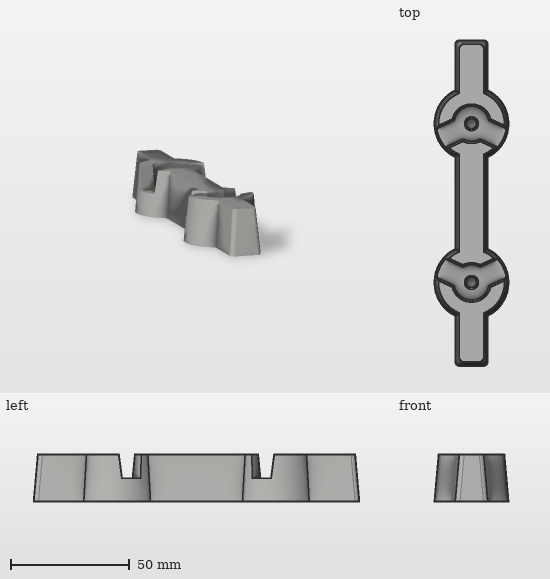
import cadquery as cq
import math

length = 137.5
disc_diameter = 31.4
height = 20.0
draft_angle = 5.0
bar_width = 13.8
end_corner_radius = 1.9
disc_spacing = 67.0

pocket_depth = height / 2
seat_radius = 7.4
arm_width = 8.7
arm_droop = 25.0

hole_diameter = 4.3
rim_diameter = 5.8
rim_depth = 0.7
hole_depth = 4.1
tip_angle = 118.0

floor_z = height - pocket_depth
arm_length = disc_diameter


def make_bar():
    """Long drafted bar with rounded end corners."""
    bar = cq.Workplane("XY").rect(bar_width, length).extrude(height, taper=draft_angle)
    corners = bar.edges("not(#Z or |X or |Y)")
    return corners.fillet(end_corner_radius)


def make_disc(y):
    """Drafted disc centred at the given Y on the bar."""
    return (
        cq.Workplane("XY").center(0, y).circle(disc_diameter / 2)
        .extrude(height, taper=draft_angle)
    )


def make_pocket():
    """Round seat with two arms that droop toward -Y, centred on the Z axis."""
    floor = cq.Workplane("XY", origin=(0, 0, floor_z))
    pocket = floor.circle(seat_radius).extrude(pocket_depth, taper=-draft_angle)
    top_arm_width = arm_width + 2 * pocket_depth * math.tan(math.radians(draft_angle))
    for side in (-1, 1):
        arm = (
            cq.Workplane("YZ")
            .moveTo(-arm_width / 2, floor_z)
            .lineTo(arm_width / 2, floor_z)
            .lineTo(top_arm_width / 2, height)
            .lineTo(-top_arm_width / 2, height)
            .close()
            .extrude(side * arm_length)
            .rotate((0, 0, 0), (0, 0, 1), -side * arm_droop)
        )
        pocket = pocket.union(arm)
    return pocket


def make_hole():
    """Revolved blind hole: countersunk rim, straight wall and conical tip."""
    hole_radius = hole_diameter / 2
    tip_depth = hole_radius / math.tan(math.radians(tip_angle / 2))
    wall_end_z = floor_z - hole_depth
    return (
        cq.Workplane("XZ")
        .moveTo(0, floor_z)
        .lineTo(rim_diameter / 2, floor_z)
        .lineTo(hole_radius, floor_z - rim_depth)
        .lineTo(hole_radius, wall_end_z)
        .lineTo(0, wall_end_z - tip_depth)
        .close()
        .revolve(360, (0, 0, 0), (0, 1, 0))
    )


body = make_bar()
for side in (-1, 1):
    body = body.union(make_disc(side * disc_spacing / 2))

pocket_cut = make_pocket().union(make_hole()).translate((0, disc_spacing / 2, 0))
opposite_cut = pocket_cut.mirror("XZ")
result = body.cut(pocket_cut).cut(opposite_cut)